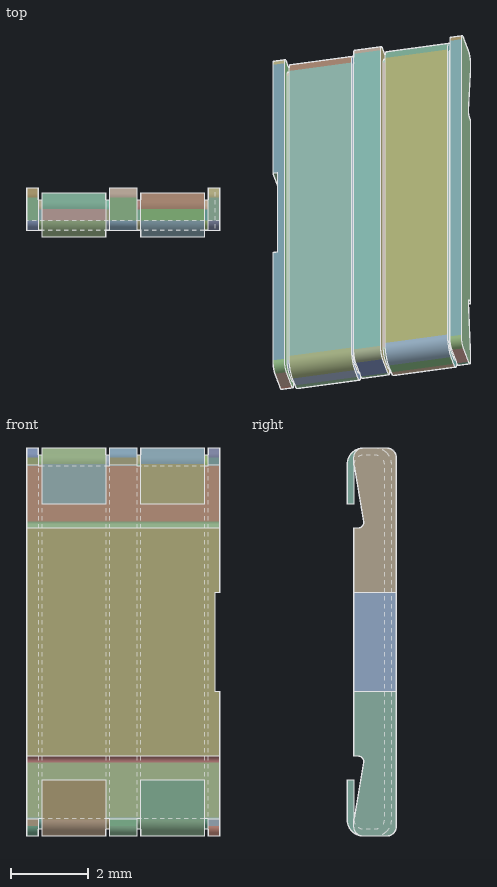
import cadquery as cq
import math

BODY_WIDTH = 4.98
BODY_LENGTH = 10.0
BODY_DEPTH = 1.10
BODY_CORNER_RADIUS = 0.25

LIP_LENGTH = 0.44
LIP_BEVEL_DEPTH = 0.015
LIP_BEVEL_LENGTH = 0.03
RAMP_ANGLE = 9.5
SHOULDER_FROM_END = 2.06
RAMP_FILLET = 0.14

STRAP_THICKNESS = 0.18
STRAP_WIDTH = 1.65
STRAP_PITCH = 2.54
STRAP_FRONT = 1.27
STRAP_BACK = 0.13
STRAP_LEG_LENGTH = 1.45
STRAP_OUTER_RADIUS = 0.42
STRAP_INNER_RADIUS = 0.25

CHANNEL_WIDTH = 1.83

EDGE_NOTCH_DEPTH = 0.125
EDGE_NOTCH_LENGTH = 2.54

HALF_LENGTH = BODY_LENGTH / 2
CHANNEL_BACK = STRAP_BACK + STRAP_THICKNESS
CHANNEL_FRONT = STRAP_FRONT - STRAP_THICKNESS
CHANNEL_HALF_LENGTH = HALF_LENGTH - STRAP_THICKNESS
LEG_END = HALF_LENGTH - STRAP_LEG_LENGTH


def block(width, back, front, bottom, top):
    """Box centred on X, from depth `back` to depth `front`, from `bottom` to `top` in Z."""
    box = cq.Workplane("XY").box(width, front - back, top - bottom, centered=(True, False, False))
    return box.translate((0, -front, bottom))


def rounded_block(width, back, front, half_length, radius):
    """Block spanning +/- `half_length` in Z, with its four X-parallel edges rounded."""
    return block(width, back, front, -half_length, half_length).edges("|X").fillet(radius)


def at_both_ends(upper):
    """An upper-end feature together with its mirror image at the lower end."""
    return upper.union(upper.mirror("XY"))


def at_both_columns(single):
    """A feature repeated at both strap columns along X."""
    right = single.translate((STRAP_PITCH / 2, 0, 0))
    left = single.translate((-STRAP_PITCH / 2, 0, 0))
    return right.union(left)


def make_ramp_relief():
    """Sloped cut next to the front lip, deepest at the shoulder, at the upper end."""
    lip_z = HALF_LENGTH - LIP_LENGTH
    shoulder_z = HALF_LENGTH - SHOULDER_FROM_END
    ramp_start_z = lip_z - LIP_BEVEL_LENGTH
    ramp_start_depth = BODY_DEPTH - LIP_BEVEL_DEPTH
    ramp_drop = (ramp_start_z - shoulder_z) * math.tan(math.radians(RAMP_ANGLE))
    profile = [
        (-BODY_DEPTH, lip_z),
        (-ramp_start_depth, ramp_start_z),
        (-ramp_start_depth + ramp_drop, shoulder_z),
        (-BODY_DEPTH, shoulder_z),
    ]
    relief = cq.Workplane("YZ").polyline(profile).close().extrude(BODY_WIDTH / 2, both=True)
    return relief.edges("|X").edges(">Y").fillet(RAMP_FILLET)


def make_channel_core(width):
    """Rounded core that a strap wraps around: the floor of a channel, the inside of a strap."""
    return rounded_block(width, CHANNEL_BACK, CHANNEL_FRONT, CHANNEL_HALF_LENGTH, STRAP_INNER_RADIUS)


def make_channel():
    """Channel running along the back face and over both ends to the front lips."""
    envelope = block(CHANNEL_WIDTH, 0, BODY_DEPTH, -HALF_LENGTH, HALF_LENGTH)
    front_middle = block(CHANNEL_WIDTH, CHANNEL_FRONT, BODY_DEPTH, -LEG_END, LEG_END)
    return envelope.cut(make_channel_core(CHANNEL_WIDTH)).cut(front_middle)


def make_strap():
    """C-shaped strap: a long back run, a bend over each end, and a short front leg at each end."""
    outside = rounded_block(STRAP_WIDTH, STRAP_BACK, STRAP_FRONT, HALF_LENGTH, STRAP_OUTER_RADIUS)
    front_opening = block(STRAP_WIDTH, CHANNEL_FRONT, STRAP_FRONT, -LEG_END, LEG_END)
    return outside.cut(make_channel_core(STRAP_WIDTH)).cut(front_opening)


def make_edge_notch():
    """Through notch centred along the +X edge."""
    notch = block(2 * EDGE_NOTCH_DEPTH, 0, BODY_DEPTH, -EDGE_NOTCH_LENGTH / 2, EDGE_NOTCH_LENGTH / 2)
    return notch.translate((BODY_WIDTH / 2, 0, 0))


def make_body():
    body = block(BODY_WIDTH, 0, BODY_DEPTH, -HALF_LENGTH, HALF_LENGTH)
    body = body.edges("|X").fillet(BODY_CORNER_RADIUS)
    body = body.cut(at_both_ends(make_ramp_relief()))
    body = body.cut(at_both_columns(make_channel()))
    return body.cut(make_edge_notch())


result = make_body().union(at_both_columns(make_strap()))